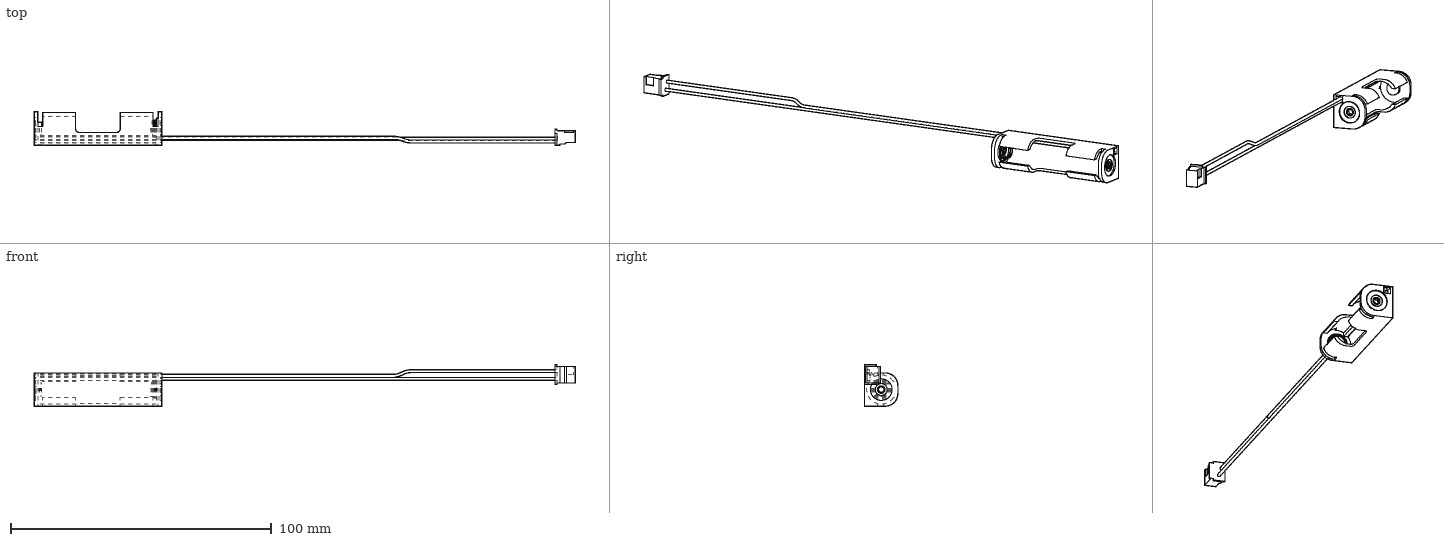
import cadquery as cq

OVERALL_LENGTH = 207.7

HOLDER_LENGTH = 49.0
HOLDER_SIDE = 12.9
HALF_SIDE = HOLDER_SIDE / 2
AXIS_Z = HALF_SIDE
CORNER_RADIUS = 5.0
END_WALL = 1.5
CELL_RADIUS = 5.6

END_GAP = 1.9
END_GAP_FLOOR_Y = 0.8
ARM_LENGTH = 12.7
MOUTH_WIDTH = 6.2
WINDOW_FLOOR_Y = -1.5
WINDOW_FILLET = 1.2

BACK_HOLE_DIAMETER = 0.8
BACK_HOLE_FROM_END = 2.3

RECESS_RADIUS = 4.2
RECESS_DEPTH = 0.6

RIVET_HEAD_RADIUS = 2.3
RIVET_HEAD_THICKNESS = 0.31
RIVET_SHANK_RADIUS = 1.5
RIVET_BORE_RADIUS = 1.0
RIVET_COUNTERSINK_DEPTH = 0.2
RIVET_COUNTERSINK_WIDTH = 0.5

PLATE_THICKNESS = 0.6
BUTTON_RADIUS = 2.5
BUTTON_THICKNESS = 1.5
SPRING_PLATE_RADIUS = 4.0
COIL_RADIUS = 3.5
SPRING_WIRE_RADIUS = 0.25
SPRING_PITCH = 0.8
SPRING_TURNS = 3
SPRING_CONE_ANGLE = -25.0

CHANNEL_ROOF = 0.55
CHANNEL_TOP_Z = HOLDER_SIDE - CHANNEL_ROOF
WIRE_RADIUS = 0.6
UPPER_WIRE_Z = CHANNEL_TOP_Z - WIRE_RADIUS
LOWER_WIRE_Z = UPPER_WIRE_Z - 2 * WIRE_RADIUS
WIRE_START_X = 0.5
LOWER_WIRE_Y = -4.0
UPPER_WIRE_Y = -3.5
BEND_START_X = 137.7
BEND_END_X = 144.8
UPPER_WIRE_END_Y = -5.0
UPPER_WIRE_END_Z = 13.5
WIRE_INSERTION = 1.0

CHANNEL_BACK_Y = -5.5
CHANNEL_FRONT_Y = -2.7
CHANNEL_BOTTOM_Z = LOWER_WIRE_Z - WIRE_RADIUS

PLUG_START_X = 199.8
PLUG_BACK_Y = -5.5
PLUG_FRONT_Y = -0.8
PLUG_BOTTOM_Z = 9.0
PLUG_TOP_Z = 15.4
RIM_THICKNESS = 0.8
RIM_OVERHANG = 0.6
RIM_SHOULDER_Y = -1.9
STEP_END_X = 201.7
STEP_BACK_Y = -HALF_SIDE
RAMP_BACK_Y = -6.0
RAMP_END_X = 203.5
RAMP_FOOT_X = 204.2
POCKET_START_X = 203.5
POCKET_END_X = 206.9
POCKET_DEPTH = 0.6
POCKET_HEIGHT = 3.1


def block(x_range, y_range, z_range):
    """Box between the given coordinate pairs."""
    (x0, x1), (y0, y1), (z0, z1) = x_range, y_range, z_range
    return cq.Workplane("XY").box(x1 - x0, y1 - y0, z1 - z0, centered=False).translate((x0, y0, z0))


def axial_disc(radius, start_x, end_x):
    """Cylinder on the cell axis."""
    return cq.Workplane("YZ", origin=(start_x, 0, AXIS_Z)).circle(radius).extrude(end_x - start_x)


def mirror_end(body):
    """Copy of a body at the opposite end of the holder."""
    return body.mirror("YZ", (HOLDER_LENGTH / 2, 0, 0))


def make_holder():
    full_z = (0, HOLDER_SIDE)
    arm_start = END_WALL + END_GAP
    arm_end = arm_start + ARM_LENGTH

    holder = block((0, HOLDER_LENGTH), (-HALF_SIDE, HALF_SIDE), full_z)
    holder = holder.edges("|X and >Y").fillet(CORNER_RADIUS)

    holder = holder.cut(axial_disc(CELL_RADIUS, END_WALL, HOLDER_LENGTH - END_WALL))
    inside = (END_WALL, HOLDER_LENGTH - END_WALL)
    mouth_z = (AXIS_Z - MOUTH_WIDTH / 2, AXIS_Z + MOUTH_WIDTH / 2)
    holder = holder.cut(block(inside, (0, HOLDER_SIDE), mouth_z))

    window = block((arm_end, HOLDER_LENGTH - arm_end), (WINDOW_FLOOR_Y, HOLDER_SIDE), full_z)
    holder = holder.cut(window.edges("|Z and <Y").fillet(WINDOW_FILLET))

    channel_y = (CHANNEL_BACK_Y, CHANNEL_FRONT_Y)
    holder = holder.cut(block((0, HOLDER_LENGTH), channel_y, (CHANNEL_BOTTOM_Z, CHANNEL_TOP_Z)))

    gap = block((END_WALL, arm_start), (END_GAP_FLOOR_Y, HOLDER_SIDE), full_z)
    recess = axial_disc(RECESS_RADIUS, 0, RECESS_DEPTH)
    rivet_hole = axial_disc(RIVET_SHANK_RADIUS, 0, END_WALL)
    back_hole = (
        cq.Workplane("XZ", origin=(BACK_HOLE_FROM_END, 0, AXIS_Z))
        .circle(BACK_HOLE_DIAMETER / 2)
        .extrude(HALF_SIDE)
    )
    for cutter in (gap, recess, rivet_hole, back_hole):
        holder = holder.cut(cutter).cut(mirror_end(cutter))
    return holder


def make_rivet():
    """Hollow rivet of the X = 0 end wall: head in the recess, shank through wall and contact."""
    head_x = RECESS_DEPTH - RIVET_HEAD_THICKNESS
    end_x = END_WALL + PLATE_THICKNESS
    rivet = axial_disc(RIVET_HEAD_RADIUS, head_x, RECESS_DEPTH)
    rivet = rivet.union(axial_disc(RIVET_SHANK_RADIUS, RECESS_DEPTH, end_x))
    rivet = rivet.cut(axial_disc(RIVET_BORE_RADIUS, head_x, end_x))
    bore_rim = rivet.faces("<X").edges(cq.selectors.RadiusNthSelector(0))
    return bore_rim.chamfer(RIVET_COUNTERSINK_DEPTH, RIVET_COUNTERSINK_WIDTH)


def make_button_contact():
    """Button on the inner face of the X = 0 end wall, with a blind hole for the rivet."""
    button = axial_disc(BUTTON_RADIUS, END_WALL, END_WALL + BUTTON_THICKNESS)
    return button.cut(axial_disc(RIVET_SHANK_RADIUS, END_WALL, END_WALL + PLATE_THICKNESS))


def make_spring_contact():
    """Washer with a conical coil standing on it, placed at the X = 0 end wall."""
    plate_end = END_WALL + PLATE_THICKNESS
    plate = axial_disc(SPRING_PLATE_RADIUS, END_WALL, plate_end)
    plate = plate.cut(axial_disc(RIVET_SHANK_RADIUS, END_WALL, plate_end))
    path = cq.Wire.makeHelix(
        SPRING_PITCH, SPRING_PITCH * SPRING_TURNS, COIL_RADIUS, angle=SPRING_CONE_ANGLE
    )
    coil = (
        cq.Workplane("XZ", origin=(COIL_RADIUS, 0, 0))
        .circle(SPRING_WIRE_RADIUS)
        .sweep(cq.Workplane(obj=path), isFrenet=True)
        .rotate((0, 0, 0), (0, 1, 0), 90)
        .translate((END_WALL + PLATE_THICKNESS / 2, 0, AXIS_Z))
    )
    return plate.union(coil)


def make_lower_wire():
    length = PLUG_START_X + WIRE_INSERTION - WIRE_START_X
    start = (WIRE_START_X, LOWER_WIRE_Y, LOWER_WIRE_Z)
    return cq.Workplane("YZ", origin=start).circle(WIRE_RADIUS).extrude(length)


def make_upper_wire():
    """Lies on the lower wire, then bends up and back to its own plug cavity."""
    start = cq.Vector(WIRE_START_X, UPPER_WIRE_Y, UPPER_WIRE_Z)
    bend_start = cq.Vector(BEND_START_X, UPPER_WIRE_Y, UPPER_WIRE_Z)
    bend_end = cq.Vector(BEND_END_X, UPPER_WIRE_END_Y, UPPER_WIRE_END_Z)
    end = cq.Vector(PLUG_START_X + WIRE_INSERTION, UPPER_WIRE_END_Y, UPPER_WIRE_END_Z)
    along_x = cq.Vector(1, 0, 0)
    path = cq.Wire.assembleEdges(
        [
            cq.Edge.makeLine(start, bend_start),
            cq.Edge.makeSpline([bend_start, bend_end], tangents=[along_x, along_x]),
            cq.Edge.makeLine(bend_end, end),
        ]
    )
    return cq.Workplane("YZ", origin=start.toTuple()).circle(WIRE_RADIUS).sweep(cq.Workplane(obj=path))


def make_plug():
    plug_x = (PLUG_START_X, OVERALL_LENGTH)
    plug_z = (PLUG_BOTTOM_Z, PLUG_TOP_Z)
    plug = block(plug_x, (PLUG_BACK_Y, PLUG_FRONT_Y), plug_z)

    rim_x = (PLUG_START_X, PLUG_START_X + RIM_THICKNESS)
    rim_z = (PLUG_BOTTOM_Z - RIM_OVERHANG, PLUG_TOP_Z + RIM_OVERHANG)
    plug = plug.union(block(rim_x, (STEP_BACK_Y, RIM_SHOULDER_Y), rim_z))
    plug = plug.union(block(rim_x, (PLUG_BACK_Y, PLUG_FRONT_Y + RIM_OVERHANG), plug_z))

    ramp = (
        cq.Workplane("XY", origin=(0, 0, PLUG_BOTTOM_Z))
        .moveTo(PLUG_START_X, PLUG_BACK_Y)
        .lineTo(PLUG_START_X, STEP_BACK_Y)
        .lineTo(STEP_END_X, STEP_BACK_Y)
        .lineTo(STEP_END_X, RAMP_BACK_Y)
        .lineTo(RAMP_END_X, RAMP_BACK_Y)
        .lineTo(RAMP_FOOT_X, PLUG_BACK_Y)
        .close()
        .extrude(PLUG_TOP_Z - PLUG_BOTTOM_Z)
    )
    plug = plug.union(ramp)

    pocket_y = (PLUG_FRONT_Y - POCKET_DEPTH, PLUG_FRONT_Y)
    pocket_z = (PLUG_TOP_Z - POCKET_HEIGHT, PLUG_TOP_Z)
    plug = plug.cut(block((POCKET_START_X, POCKET_END_X), pocket_y, pocket_z))

    for y, z in ((LOWER_WIRE_Y, LOWER_WIRE_Z), (UPPER_WIRE_END_Y, UPPER_WIRE_END_Z)):
        cavity = cq.Workplane("YZ", origin=(PLUG_START_X, y, z)).circle(WIRE_RADIUS).extrude(WIRE_INSERTION)
        plug = plug.cut(cavity)
    return plug


holder = make_holder()
rivet = make_rivet()
rivets = [rivet, mirror_end(rivet)]
button_contact = make_button_contact()
spring_contact = mirror_end(make_spring_contact())
wires = [make_lower_wire(), make_upper_wire()]
plug = make_plug()

bodies = [holder, *rivets, button_contact, spring_contact, *wires, plug]
result = cq.Compound.makeCompound([body.solids().val() for body in bodies])